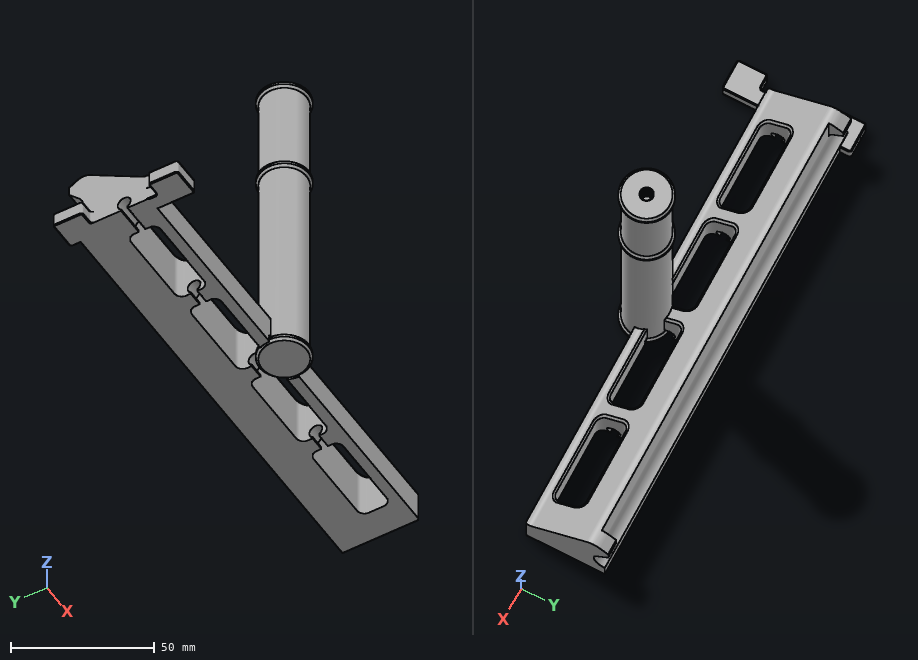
import cadquery as cq
import math


TOTAL_LENGTH = 188.0
EDGE_RADIUS = 1.0
CUT_REACH = 37.6

EAR_SIZE = 12.0
EAR_HEIGHT = 6.0
EAR_CHAMFER = 0.4
EAR_OVERHANG = EAR_SIZE / 2
FRONT_EAR_Y = -15.2
REAR_END_Y = 35.7
REAR_EAR_Y = REAR_END_Y - EAR_SIZE

RAIL_LENGTH = TOTAL_LENGTH - EAR_OVERHANG
RAIL_MIDDLE_X = EAR_OVERHANG + RAIL_LENGTH / 2
LEDGE_HEIGHT = 12.0
LEDGE_DEPTH = 2.0
LEDGE_FILLET = 3.5
SLOPE_ANGLE = math.radians(30)
NOSE_RADIUS = 5.0
NOSE_START_Y = 24.3
NOSE_BACK_Y = 32.7
LIP_BACK_Y = 31.4
CHANNEL_RADIUS = 5.0
CHANNEL_Y = 32.1
CHANNEL_Z = 11.7
TAB_LENGTH = 6.0

WINDOW_COUNT = 4
WINDOW_PITCH = 41.0
WINDOW_LENGTH = 35.0
WINDOW_FRONT_Y = 4.3
WINDOW_WIDTH = 12.0
WINDOW_CORNER_RADIUS = 3.0
WINDOW_CHAMFER = 1.0

BORE_DIAMETER = 5.3
BORE_Y = 10.2
BORE_Z = 3.0
BORE_SLOT_WIDTH = 2.6

ROD_DIAMETER = 18.0
ROD_HEIGHT = 130.0
THREAD_OUTER_DIAMETER = 5.0
THREAD_INNER_DIAMETER = 4.3
THREAD_PITCH = 0.8
THREAD_TURNS = 12
RING_DIAMETER = 20.0
RING_HEIGHT = 3.0
RING_CHAMFER = (RING_DIAMETER - ROD_DIAMETER) / 2
MIDDLE_RING_TOP = 90.0
RING_BASES = (0, MIDDLE_RING_TOP - RING_HEIGHT, ROD_HEIGHT - RING_HEIGHT)


def box(x, y, z, length, width, height):
    return cq.Workplane("XY").box(length, width, height, centered=False).translate((x, y, z))


def rail_body():
    """Sloped rail with a rounded nose over a round channel along its back."""
    slope_rise = math.tan(SLOPE_ANGLE)
    nose_start_z = LEDGE_HEIGHT + (NOSE_START_Y - LEDGE_DEPTH) * slope_rise
    nose_middle_y = NOSE_START_Y + NOSE_RADIUS * math.sin(SLOPE_ANGLE)
    nose_top_z = nose_start_z + NOSE_RADIUS * (1 - math.cos(SLOPE_ANGLE))
    nose_end_y = 2 * nose_middle_y - NOSE_START_Y
    nose_back_z = nose_start_z - (NOSE_BACK_Y - nose_end_y) * slope_rise

    diagonal = CHANNEL_RADIUS * math.sqrt(0.5)
    tangent_y = CHANNEL_Y - diagonal
    tangent_z = CHANNEL_Z + diagonal
    underside_z = tangent_z + NOSE_BACK_Y - tangent_y
    lip_z = CHANNEL_Z - math.sqrt(CHANNEL_RADIUS**2 - (CHANNEL_Y - LIP_BACK_Y) ** 2)

    profile = (
        cq.Workplane("YZ", origin=(EAR_OVERHANG, 0, 0))
        .moveTo(0, 0)
        .lineTo(0, LEDGE_HEIGHT)
        .lineTo(LEDGE_DEPTH, LEDGE_HEIGHT)
        .lineTo(NOSE_START_Y, nose_start_z)
        .threePointArc((nose_middle_y, nose_top_z), (nose_end_y, nose_start_z))
        .lineTo(NOSE_BACK_Y, nose_back_z)
        .lineTo(NOSE_BACK_Y, underside_z)
        .lineTo(tangent_y, tangent_z)
        .threePointArc((CHANNEL_Y - CHANNEL_RADIUS, CHANNEL_Z), (LIP_BACK_Y, lip_z))
        .lineTo(LIP_BACK_Y, 0)
        .close()
    )
    body = profile.extrude(RAIL_LENGTH)
    ledge_corner = cq.selectors.NearestToPointSelector((RAIL_MIDDLE_X, LEDGE_DEPTH, LEDGE_HEIGHT))
    body = body.edges(ledge_corner).fillet(LEDGE_FILLET)
    return body.edges("|Z").edges("<Y").fillet(EDGE_RADIUS)


def nose_relief():
    """Space that removes the nose overhang everywhere but at the two end tabs."""
    relief_y = CHANNEL_Y - CHANNEL_RADIUS
    return box(
        EAR_OVERHANG + TAB_LENGTH,
        relief_y,
        CHANNEL_Z,
        RAIL_LENGTH - 2 * TAB_LENGTH,
        CUT_REACH,
        CUT_REACH,
    )


def windows():
    """Row of upright openings through the rail, centred on its length."""
    return (
        cq.Workplane("XY")
        .center(RAIL_MIDDLE_X, WINDOW_FRONT_Y + WINDOW_WIDTH / 2)
        .rarray(WINDOW_PITCH, 1.9, WINDOW_COUNT, 1)
        .rect(WINDOW_LENGTH, WINDOW_WIDTH)
        .extrude(CUT_REACH)
        .edges("|Z")
        .fillet(WINDOW_CORNER_RADIUS)
    )


def cut_windows(body):
    """Cut the windows and chamfer their rims on the sloped face."""
    slope_normal = cq.Vector(0, -math.sin(SLOPE_ANGLE), math.cos(SLOPE_ANGLE))
    body = body.cut(windows())
    slope = body.faces(cq.selectors.ParallelDirSelector(slope_normal)).val()
    rim_edges = [edge for rim in slope.innerWires() for edge in rim.Edges()]
    return body.newObject(rim_edges).chamfer(WINDOW_CHAMFER)


def ears():
    """Two floor-level ears; the front one joins the rail through a neck."""
    front_end = FRONT_EAR_Y + EAR_SIZE
    outline = (
        cq.Workplane("XY")
        .polyline([
            (0, FRONT_EAR_Y),
            (EAR_SIZE, FRONT_EAR_Y),
            (EAR_SIZE, REAR_END_Y),
            (0, REAR_END_Y),
            (0, REAR_EAR_Y),
            (EAR_OVERHANG, REAR_EAR_Y),
            (EAR_OVERHANG, front_end),
            (0, front_end),
        ])
        .close()
    )
    block = outline.extrude(EAR_HEIGHT).edges("|Z").fillet(EDGE_RADIUS)
    return block.faces("|Z").edges().chamfer(EAR_CHAMFER)


def bore():
    """Round bore with a slot down to the floor, ending in the last window."""
    length = RAIL_LENGTH / 2 + (WINDOW_COUNT - 1) / 2 * WINDOW_PITCH
    start = cq.Workplane("YZ", origin=(EAR_OVERHANG, BORE_Y, BORE_Z))
    slot = box(EAR_OVERHANG, BORE_Y - BORE_SLOT_WIDTH / 2, 0, length, BORE_SLOT_WIDTH, BORE_Z)
    return start.circle(BORE_DIAMETER / 2).extrude(length).union(slot)


def threaded_hole():
    """Cutter for the blind hole, with its thread as a stack of ring-shaped ridges."""
    points = [(0, 0), (THREAD_OUTER_DIAMETER / 2, 0)]
    for turn in range(THREAD_TURNS):
        points.append((THREAD_INNER_DIAMETER / 2, -(turn + 0.5) * THREAD_PITCH))
        points.append((THREAD_OUTER_DIAMETER / 2, -(turn + 1) * THREAD_PITCH))
    points.append((0, -THREAD_TURNS * THREAD_PITCH))
    cutter = cq.Workplane("XZ").polyline(points).close().revolve(360, (0, 0, 0), (0, 1, 0))
    return cutter.translate((RAIL_MIDDLE_X, 0, ROD_HEIGHT))


def cylinder(diameter, height, base_z=0):
    """Upright cylinder on the rod's axis."""
    return cq.Workplane("XY", origin=(RAIL_MIDDLE_X, 0, base_z)).circle(diameter / 2).extrude(height)


def make_rod():
    """Straight rod with a threaded hole in its top."""
    return cylinder(ROD_DIAMETER, ROD_HEIGHT).cut(threaded_hole())


def make_ring(base_z):
    """Ring around the rod, chamfered down to the rod's surface at both ends."""
    disc = cylinder(RING_DIAMETER, RING_HEIGHT, base_z).edges("%CIRCLE").chamfer(RING_CHAMFER)
    return disc.cut(cylinder(ROD_DIAMETER, RING_HEIGHT, base_z))


def make_rail():
    """Rail with its ears, windows and bore, and a seat for the rod and its bottom ring."""
    body = cut_windows(rail_body()).cut(nose_relief()).union(ears()).cut(bore())
    rod_seat = cylinder(ROD_DIAMETER, ROD_HEIGHT).union(cylinder(RING_DIAMETER, RING_HEIGHT))
    return body.cut(rod_seat)


rail = make_rail()
rod = make_rod()
rings = [make_ring(base_z) for base_z in RING_BASES]

result = cq.Compound.makeCompound([rail.val(), rod.val(), *[ring.val() for ring in rings]])